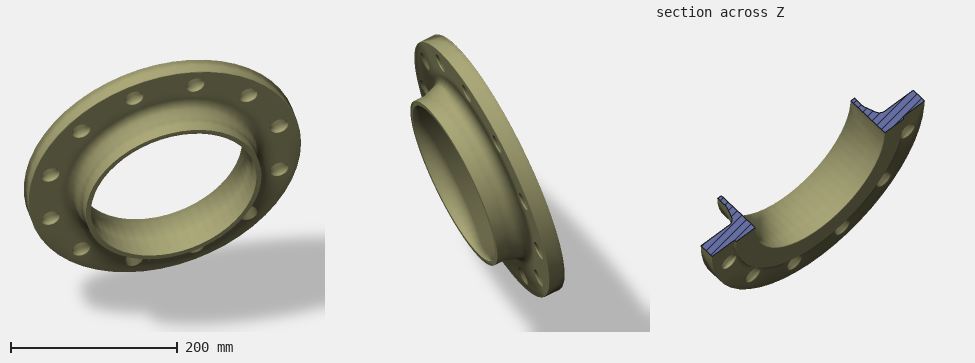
import cadquery as cq
import math


flange_diameter = 340.0
overall_length = 62.0
bore_diameter = 206.5

flange_thickness = 24.0

edge_chamfer = 0.5

raised_face_height = 3.0
raised_face_diameter = 268.0
raised_face_base_diameter = 270.7

neck_base_diameter = 235.0
weld_end_diameter = 219.1
weld_end_length = 16.0
root_radius = 10.0
weld_end_radius = 10.0

bolt_count = 12
bolt_circle_diameter = 295.0
bolt_hole_diameter = 22.0


def arc_midpoint(center, radius, start, end):
    """Point of the arc halfway between start and end."""
    chord_x = (start[0] + end[0]) / 2 - center[0]
    chord_r = (start[1] + end[1]) / 2 - center[1]
    distance = math.hypot(chord_x, chord_r)
    return (center[0] + radius * chord_x / distance, center[1] + radius * chord_r / distance)


def make_body():
    """Revolve the half section, drawn as (X, radius), about the X axis."""
    bore_radius = bore_diameter / 2
    rim_radius = flange_diameter / 2
    neck_base_radius = neck_base_diameter / 2
    weld_radius = weld_end_diameter / 2
    weld_start = overall_length - weld_end_length

    neck_angle = math.atan2(neck_base_radius - weld_radius, weld_start - flange_thickness)
    neck_cos = math.cos(neck_angle)
    neck_sin = math.sin(neck_angle)

    root_setback = root_radius * math.tan((math.pi / 2 - neck_angle) / 2)
    root_start = (flange_thickness, neck_base_radius + root_setback)
    root_end = (
        flange_thickness + root_setback * neck_cos,
        neck_base_radius - root_setback * neck_sin,
    )
    root_center = (flange_thickness + root_radius, root_start[1])
    root_middle = arc_midpoint(root_center, root_radius, root_start, root_end)

    weld_setback = weld_end_radius * math.tan(neck_angle / 2)
    blend_start = (weld_start - weld_setback * neck_cos, weld_radius + weld_setback * neck_sin)
    blend_end = (weld_start + weld_setback, weld_radius)
    blend_center = (blend_end[0], weld_radius + weld_end_radius)
    blend_middle = arc_midpoint(blend_center, weld_end_radius, blend_start, blend_end)

    section = (
        cq.Workplane("XY")
        .moveTo(edge_chamfer, bore_radius)
        .lineTo(0, bore_radius + edge_chamfer)
        .lineTo(0, raised_face_diameter / 2)
        .lineTo(raised_face_height, raised_face_base_diameter / 2)
        .lineTo(raised_face_height, rim_radius - edge_chamfer)
        .lineTo(raised_face_height + edge_chamfer, rim_radius)
        .lineTo(flange_thickness - edge_chamfer, rim_radius)
        .lineTo(flange_thickness, rim_radius - edge_chamfer)
        .lineTo(*root_start)
        .threePointArc(root_middle, root_end)
        .lineTo(*blend_start)
        .threePointArc(blend_middle, blend_end)
        .lineTo(overall_length, weld_radius)
        .lineTo(overall_length, bore_radius)
        .close()
    )
    return section.revolve(360, (0, 0, 0), (1, 0, 0))


def make_bolt_hole_cutter():
    """Through hole with chamfered ends, placed at the first bolt position."""
    hole_radius = bolt_hole_diameter / 2
    mouth_radius = hole_radius + edge_chamfer
    bolt_circle_radius = bolt_circle_diameter / 2
    profile = (
        cq.Workplane("XY")
        .moveTo(0, 0)
        .lineTo(0, mouth_radius)
        .lineTo(raised_face_height, mouth_radius)
        .lineTo(raised_face_height + edge_chamfer, hole_radius)
        .lineTo(flange_thickness - edge_chamfer, hole_radius)
        .lineTo(flange_thickness, mouth_radius)
        .lineTo(flange_thickness, 0)
        .close()
    )
    first_angle = 360 / bolt_count / 2
    return (
        profile.revolve(360, (0, 0, 0), (1, 0, 0))
        .translate((0, bolt_circle_radius, 0))
        .rotate((0, 0, 0), (1, 0, 0), first_angle)
    )


def cut_bolt_holes(body):
    """Cut the bolt holes, evenly spaced around the X axis."""
    cutter = make_bolt_hole_cutter()
    for index in range(bolt_count):
        angle = 360 / bolt_count * index
        body = body.cut(cutter.rotate((0, 0, 0), (1, 0, 0), angle))
    return body


result = cut_bolt_holes(make_body())